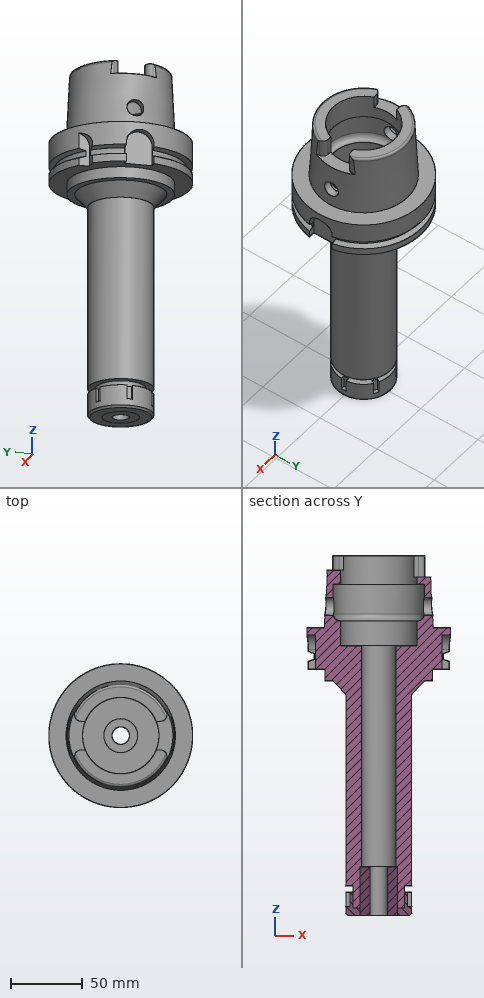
import cadquery as cq
import math


full_turn = 360

shank_height = 50.0
shank_base_radius = 38.0
taper_ratio = 0.05
shank_top_radius = shank_base_radius - taper_ratio * shank_height
rim_fillet = 1.8
mouth_radius = 26.5
mouth_depth = 20.0
chamber_radius = 31.5
chamber_floor_z = 4.8
chamber_corner_radius = 4.8
pit_radius = 26.5
pit_floor_z = -12.5
cross_hole_radius = 6.0
cross_hole_z = 14.8

drive_slot_width = 20.0
drive_slot_depth_left = 10.0
drive_slot_depth_right = 14.8
rim_flat_distance = 32.0
drive_corner_radius = 4.2

flange_radius = 50.0
flange_height = 29.0
groove_radius = 46.0
groove_center_z = -20.0
groove_mouth_width = 6.8
groove_floor_width = 4.0
notch_radius = 10.0
notch_top_z = -5.2
notch_floor_distance = 44.0
side_notch_edge_y = 31.5
side_notch_floor_x = -31.0

collar_radius = 37.5
collar_bottom_z = -37.0
cone_top_radius = 32.0
cone_bottom_z = -46.5
shaft_radius = 23.0
shaft_bottom_z = -179.2
nose_radius = 18.0
through_bore_radius = 11.8

bottom_z = -200.0
nut_height = 16.2
nut_top_z = bottom_z + nut_height
nut_face_thickness = 5.0
nose_bottom_z = bottom_z + nut_face_thickness
nut_chamfer_width = 1.5
nut_chamfer_height = 1.5
wrench_slot_count = 6
wrench_slot_width = 4.0
wrench_slot_length = 10.0
wrench_slot_floor_distance = 20.0
collet_radius = 13.0
collet_length = 34.0
collet_bore_radius = 6.0


def cylinder(radius, z_low, z_high):
    return cq.Workplane("XY").workplane(offset=z_low).circle(radius).extrude(z_high - z_low)


def revolved(points):
    """Solid of revolution about Z from (radius, z) points."""
    return cq.Workplane("YZ").polyline(points).close().revolve(full_turn, (0, 0), (0, 1))


def holder_blank():
    """Outside of the holder, from the nose inside the nut up to the shank rim."""
    shank = revolved([
        (0, 0),
        (shank_base_radius, 0),
        (shank_top_radius, shank_height),
        (0, shank_height),
    ]).faces(">Z").edges().fillet(rim_fillet)
    body = revolved([
        (0, 0),
        (flange_radius, 0),
        (flange_radius, groove_center_z + groove_mouth_width / 2),
        (groove_radius, groove_center_z + groove_floor_width / 2),
        (groove_radius, groove_center_z - groove_floor_width / 2),
        (flange_radius, groove_center_z - groove_mouth_width / 2),
        (flange_radius, -flange_height),
        (collar_radius, -flange_height),
        (collar_radius, collar_bottom_z),
        (cone_top_radius, collar_bottom_z),
        (shaft_radius, cone_bottom_z),
        (shaft_radius, shaft_bottom_z),
        (nose_radius, shaft_bottom_z),
        (nose_radius, nose_bottom_z),
        (0, nose_bottom_z),
    ])
    return shank.union(body)


def holder_cavity():
    """Shank mouth, wider chamber with a rounded bottom edge, pit, through bore and collet seat."""
    mouth_bottom_z = shank_height - mouth_depth
    seat_top_z = bottom_z + collet_length
    corner_center_r = chamber_radius - chamber_corner_radius
    corner_center_z = chamber_floor_z + chamber_corner_radius
    corner_offset = chamber_corner_radius * math.sqrt(0.5)
    return (
        cq.Workplane("YZ")
        .moveTo(0, shank_height)
        .lineTo(mouth_radius, shank_height)
        .lineTo(mouth_radius, mouth_bottom_z)
        .lineTo(chamber_radius, mouth_bottom_z)
        .lineTo(chamber_radius, corner_center_z)
        .threePointArc(
            (corner_center_r + corner_offset, corner_center_z - corner_offset),
            (corner_center_r, chamber_floor_z),
        )
        .lineTo(pit_radius, chamber_floor_z)
        .lineTo(pit_radius, pit_floor_z)
        .lineTo(through_bore_radius, pit_floor_z)
        .lineTo(through_bore_radius, seat_top_z)
        .lineTo(collet_radius, seat_top_z)
        .lineTo(collet_radius, nose_bottom_z)
        .lineTo(0, nose_bottom_z)
        .close()
        .revolve(full_turn, (0, 0), (0, 1))
    )


def drive_slot(depth):
    """Cutter for the +X rim slot, which widens to full width outside the rim flats."""
    half_slot = drive_slot_width / 2
    reach = flange_radius
    return (
        cq.Workplane("XY").workplane(offset=shank_height - depth)
        .moveTo(0, -half_slot)
        .lineTo(rim_flat_distance - drive_corner_radius, -half_slot)
        .radiusArc((rim_flat_distance, -half_slot - drive_corner_radius), drive_corner_radius)
        .lineTo(rim_flat_distance, -reach)
        .lineTo(reach, -reach)
        .lineTo(reach, reach)
        .lineTo(rim_flat_distance, reach)
        .lineTo(rim_flat_distance, half_slot + drive_corner_radius)
        .radiusArc((rim_flat_distance - drive_corner_radius, half_slot), drive_corner_radius)
        .lineTo(0, half_slot)
        .close()
        .extrude(depth)
    )


def flange_notch(center_y, floor_x):
    """Round-topped cutter on the -X side of the flange, open downwards."""
    arch_z = notch_top_z - notch_radius
    return (
        cq.Workplane("YZ").workplane(offset=-flange_radius)
        .moveTo(center_y - notch_radius, -flange_height)
        .lineTo(center_y - notch_radius, arch_z)
        .threePointArc((center_y, notch_top_z), (center_y + notch_radius, arch_z))
        .lineTo(center_y + notch_radius, -flange_height)
        .close()
        .extrude(floor_x + flange_radius)
    )


def half_turn(shape):
    return shape.rotate((0, 0, 0), (0, 0, 1), full_turn / 2)


def make_holder():
    cross_hole = (
        cq.Workplane("YZ").center(0, cross_hole_z).circle(cross_hole_radius)
        .extrude(flange_radius, both=True)
    )
    key_notch = flange_notch(0, -notch_floor_distance)
    side_notch = flange_notch(side_notch_edge_y + notch_radius, side_notch_floor_x)
    return (
        holder_blank()
        .cut(holder_cavity())
        .cut(cross_hole)
        .cut(drive_slot(drive_slot_depth_right))
        .cut(half_turn(drive_slot(drive_slot_depth_left)))
        .cut(key_notch)
        .cut(half_turn(key_notch))
        .cut(side_notch)
    )


def make_nut():
    """Cap that takes the holder nose from above and the collet through its face."""
    nut = revolved([
        (collet_radius, bottom_z),
        (shaft_radius - nut_chamfer_width, bottom_z),
        (shaft_radius, bottom_z + nut_chamfer_height),
        (shaft_radius, nut_top_z),
        (nose_radius, nut_top_z),
        (nose_radius, nose_bottom_z),
        (collet_radius, nose_bottom_z),
    ])
    wrench_slot = cq.Workplane("XY").box(
        shaft_radius, wrench_slot_width, wrench_slot_length, centered=(False, True, False)
    ).translate((wrench_slot_floor_distance, 0, nut_top_z - wrench_slot_length))
    for index in range(wrench_slot_count):
        angle = index * full_turn / wrench_slot_count
        nut = nut.cut(wrench_slot.rotate((0, 0, 0), (0, 0, 1), angle))
    return nut


def make_collet():
    collet = cylinder(collet_radius, bottom_z, bottom_z + collet_length)
    return collet.cut(cylinder(collet_bore_radius, bottom_z, bottom_z + collet_length))


holder = make_holder()
nut = make_nut()
collet = make_collet()

result = cq.Compound.makeCompound([holder.val(), nut.val(), collet.val()])